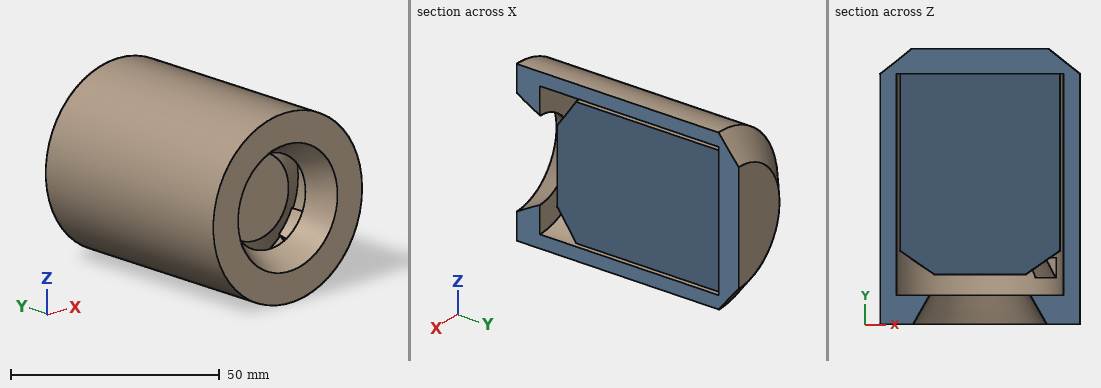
import cadquery as cq

LENGTH = 66.0
OUTER_RADIUS = 48.0 / 2
REAR_RADIUS = 32.9 / 2
REAR_TAPER = 6.0

MOUTH_RADIUS = 32.0 / 2
MOUTH_DEPTH = 7.0
LIP_RADIUS = 24.0 / 2
BORE_RADIUS = 40.0 / 2
BORE_END = LENGTH - REAR_TAPER

PLUNGER_RADIUS = 19.2
PLUNGER_TIP_RADIUS = 22.0 / 2
PLUNGER_FRONT = 11.95
PLUNGER_TAPER = 5.7

WEDGE_FRONT = 11.2
WEDGE_BACK = 16.0
WEDGE_FRONT_THICKNESS = 0.2
WEDGE_BACK_THICKNESS = 2.9
WEDGE_TOP_ANGLE = 23.7
WEDGE_SPAN = 24.1

FRONT_Y = -LENGTH / 2


def turn(profile, angle=360):
    """Revolve (radius, depth from the front face) points about the Y axis, starting at +X."""
    points = [(radius, FRONT_Y + depth) for radius, depth in profile]
    return cq.Workplane("XY").polyline(points).close().revolve(angle, (0, 0, 0), (0, 1, 0))


def make_housing():
    return turn([
        (MOUTH_RADIUS, 0),
        (OUTER_RADIUS, 0),
        (OUTER_RADIUS, LENGTH - REAR_TAPER),
        (REAR_RADIUS, LENGTH),
        (0, LENGTH),
        (0, BORE_END),
        (BORE_RADIUS, BORE_END),
        (BORE_RADIUS, MOUTH_DEPTH),
        (LIP_RADIUS, MOUTH_DEPTH),
    ])


def make_plunger():
    return turn([
        (0, PLUNGER_FRONT),
        (PLUNGER_TIP_RADIUS, PLUNGER_FRONT),
        (PLUNGER_RADIUS, PLUNGER_FRONT + PLUNGER_TAPER),
        (PLUNGER_RADIUS, BORE_END),
        (0, BORE_END),
    ])


def make_wedge():
    sector = turn([
        (BORE_RADIUS, WEDGE_FRONT),
        (BORE_RADIUS, WEDGE_BACK),
        (BORE_RADIUS - WEDGE_BACK_THICKNESS, WEDGE_BACK),
        (BORE_RADIUS - WEDGE_FRONT_THICKNESS, WEDGE_FRONT),
    ], WEDGE_SPAN)
    return sector.rotate((0, 0, 0), (0, 1, 0), WEDGE_TOP_ANGLE)


housing = make_housing()
plunger = make_plunger()
wedge = make_wedge()
result = cq.Compound.makeCompound([housing.val(), plunger.val(), wedge.val()])